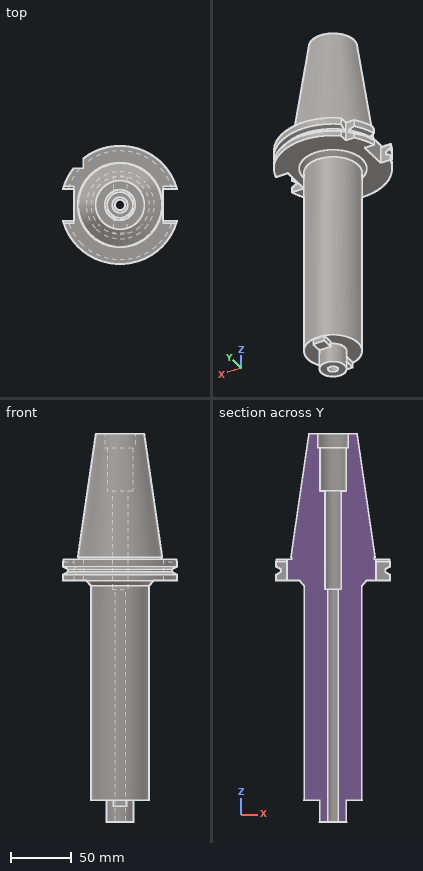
import cadquery as cq

total_length = 319.8

taper_ratio = 7 / 24
gauge_radius = 35.0
taper_length = 101.7
taper_end_radius = gauge_radius - taper_length * taper_ratio / 2

flange_radius = 48.75
flange_top = -103.3
flange_bottom = -121.0
relief_radius = 34.2
groove_top = flange_top - 6.0
groove_bottom = groove_top - 6.7
groove_depth = 3.8
groove_flank_height = 2.2

collar_radius = 27.8
collar_height = 4.5
shank_radius = 24.0
spigot_radius = 11.2
spigot_length = 18.0
shank_bottom = spigot_length - total_length

slot_width = 26.0
slot_chamfer = 2.2
slot_floor_left = 38.0
slot_floor_right = 35.5

notch_x = 30.5
notch_y = 30.5

key_width = 11.0
key_height = 4.8
key_inner = 12.8
key_outer = 23.0

bore_steps = [
    (12.5, 11.5),
    (10.5, 47.0),
    (6.5, 128.0),
    (4.0, total_length),
]


def revolved_body():
    groove_radius = flange_radius - groove_depth
    profile = [
        (0, 0),
        (taper_end_radius, 0),
        (gauge_radius, -taper_length),
        (relief_radius, -taper_length),
        (relief_radius, flange_top),
        (flange_radius, flange_top),
        (flange_radius, groove_top),
        (groove_radius, groove_top - groove_flank_height),
        (groove_radius, groove_bottom + groove_flank_height),
        (flange_radius, groove_bottom),
        (flange_radius, flange_bottom),
        (collar_radius, flange_bottom),
        (shank_radius, flange_bottom - collar_height),
        (shank_radius, shank_bottom),
        (spigot_radius, shank_bottom),
        (spigot_radius, -total_length),
        (0, -total_length),
    ]
    return cq.Workplane("XZ").polyline(profile).close().revolve(360, (0, 0), (0, 1))


def drive_slot(floor, side):
    """Slot open to the rim, with its upper edges chamfered; side is -1 or +1 along X."""
    half_width = slot_width / 2
    half_mouth = half_width + slot_chamfer
    section = [
        (-half_width, flange_bottom),
        (half_width, flange_bottom),
        (half_width, flange_top - slot_chamfer),
        (half_mouth, flange_top),
        (-half_mouth, flange_top),
        (-half_width, flange_top - slot_chamfer),
    ]
    return (
        cq.Workplane("YZ", origin=(side * floor, 0, 0))
        .polyline(section)
        .close()
        .extrude(side * flange_radius)
    )


def orientation_notch():
    return (
        cq.Workplane("XY", origin=(-notch_x, notch_y, flange_bottom))
        .rect(-flange_radius, flange_radius, centered=False)
        .extrude(flange_top - flange_bottom)
    )


def drive_key(side):
    key_length = key_outer - key_inner
    return (
        cq.Workplane("XY", origin=(0, side * (key_inner + key_length / 2), shank_bottom))
        .rect(key_width, key_length)
        .extrude(-key_height)
    )


def stepped_bore():
    bore = cq.Workplane("XY")
    for radius, depth in bore_steps:
        bore = bore.union(cq.Workplane("XY").circle(radius).extrude(-depth))
    return bore


result = revolved_body()
result = result.cut(drive_slot(slot_floor_left, -1))
result = result.cut(drive_slot(slot_floor_right, 1))
result = result.cut(orientation_notch())
for key_side in (-1, 1):
    result = result.union(drive_key(key_side))
result = result.cut(stepped_bore())